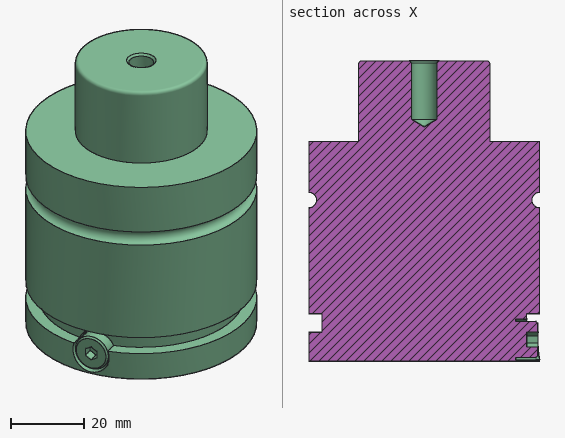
import cadquery as cq
import math

flange_height = 8.0
body_bottom = 13.0
body_top = 60.0
total_height = 82.0

body_diameter = 63.0
waist_diameter = 56.0
rod_diameter = 36.0
rod_edge_radius = 1.0

groove_height = 44.0
groove_radius = 2.05

rod_hole_diameter = 6.8
rod_hole_mouth_diameter = 8.0
rod_hole_depth = 16.0
drill_point_angle = 118.0

screw_height = 6.0
screw_diameter = 10.0
screw_face_distance = 31.0
screw_edge = 0.5
counterbore_diameter = 11.0
counterbore_floor_distance = 25.0
socket_sides = 6
socket_across_corners = 4.0
socket_depth = 3.0


def turned_body():
    """Stepped cylinder with a waist above the flange and a rounded rod end."""
    body_radius = body_diameter / 2
    waist_radius = waist_diameter / 2
    rod_radius = rod_diameter / 2
    profile = (
        cq.Workplane("XZ")
        .moveTo(0, 0)
        .lineTo(body_radius, 0)
        .lineTo(body_radius, flange_height)
        .lineTo(waist_radius, flange_height)
        .lineTo(waist_radius, body_bottom)
        .lineTo(body_radius, body_bottom)
        .lineTo(body_radius, body_top)
        .lineTo(rod_radius, body_top)
        .lineTo(rod_radius, total_height)
        .lineTo(0, total_height)
        .close()
    )
    body = profile.revolve(360, (0, 0, 0), (0, 1, 0))
    return body.faces(">Z").edges().fillet(rod_edge_radius)


def ring_groove():
    """Round-section ring centred on the body surface, cutting a half-round groove."""
    section = cq.Workplane("XZ").center(body_diameter / 2, groove_height).circle(groove_radius)
    return section.revolve(360, (-body_diameter / 2, 0, 0), (-body_diameter / 2, 1, 0))


def rod_hole():
    """Drilled hole with a 45 degree mouth chamfer and a conical bottom."""
    hole_radius = rod_hole_diameter / 2
    mouth_radius = rod_hole_mouth_diameter / 2
    chamfer_depth = mouth_radius - hole_radius
    floor_height = total_height - rod_hole_depth
    point_length = hole_radius / math.tan(math.radians(drill_point_angle / 2))
    profile = (
        cq.Workplane("XZ")
        .moveTo(0, total_height)
        .lineTo(mouth_radius, total_height)
        .lineTo(hole_radius, total_height - chamfer_depth)
        .lineTo(hole_radius, floor_height)
        .lineTo(0, floor_height - point_length)
        .close()
    )
    return profile.revolve(360, (0, 0, 0), (0, 1, 0))


def screw_plane(distance):
    """Plane facing -Y on the screw axis, at the given distance from the body axis."""
    return cq.Workplane("XZ", origin=(0, -distance, screw_height))


def counterbore():
    """Round pocket that seats the screw and opens through the flange side."""
    depth = body_diameter / 2 - counterbore_floor_distance
    return screw_plane(counterbore_floor_distance).circle(counterbore_diameter / 2).extrude(depth)


def screw():
    """Screw head with a chamfered rim and a hexagonal socket."""
    length = screw_face_distance - counterbore_floor_distance
    head = screw_plane(counterbore_floor_distance).circle(screw_diameter / 2).extrude(length)
    head = head.faces("<Y").edges().chamfer(screw_edge)
    socket = (
        screw_plane(screw_face_distance)
        .transformed(rotate=(0, 0, 90))
        .polygon(socket_sides, socket_across_corners)
        .extrude(-socket_depth)
    )
    return head.cut(socket)


result = turned_body().cut(ring_groove()).cut(rod_hole()).cut(counterbore()).union(screw())